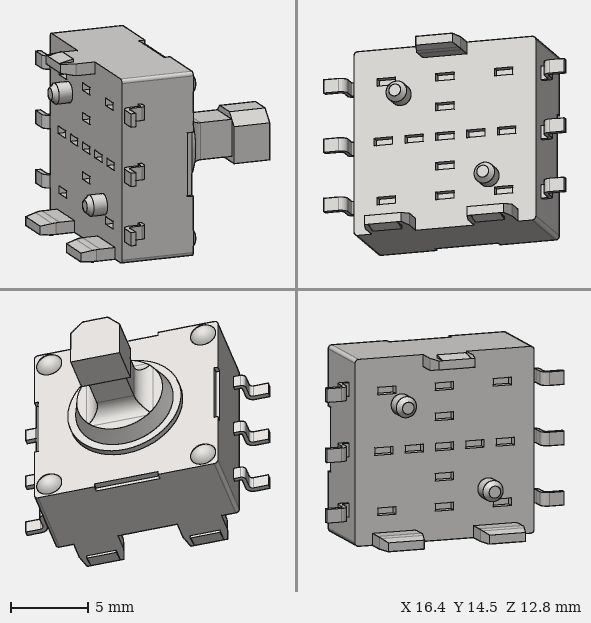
import cadquery as cq
import math


BODY_SIDE = 12.4
BODY_DEPTH = 5.0
CORNER_RADIUS = 0.25
HALF_SIDE = BODY_SIDE / 2

NOTCH_WIDTH = 4.3
NOTCH_HEIGHT = 0.42
NOTCH_INSET = 0.25

DOME_RADIUS = 0.85
DOME_HEIGHT = 0.5
DOME_OFFSET = 5.2

COLLAR_DIAMETER = 7.65
COLLAR_HEIGHT = 0.4
BOOT_BASE_DIAMETER = 6.6
BOOT_TOP_DIAMETER = 5.8
BOOT_HEIGHT = 1.1

STICK_SIDE = 2.5
FLARE_RADIUS = 1.0
KNOB_SIDE = 3.3
KNOB_LENGTH = 2.5
KNOB_CHAMFER = 0.8
KNOB_END = 12.2

SLOT_WIDTH = 1.25
SLOT_HEIGHT = 0.5
SLOT_DEPTH = 0.5
SLOT_PITCH = 2.0
MIDDLE_ROW_PITCH = 2.1

PEG_DIAMETER = 1.4
PEG_LENGTH = 1.3
PEG_TIP_CHAMFER_RADIAL = 0.3
PEG_TIP_CHAMFER_AXIAL = 0.35
PEG_OFFSET = 3.0

HOOK_WIDTH = 3.0
HOOK_THICKNESS = 0.8
HOOK_LENGTH = 2.3
HOOK_TAPER_START = 1.3
HOOK_SIDE_TAPER = 0.25
HOOK_INNER_TAPER = 0.2
HOOK_INNER_BLEND_RADIUS = 2.5
BARB_WIDTH = 2.0
BARB_HEIGHT = 0.2
LOWER_HOOK_OFFSET = 3.5

TERMINAL_WIDTH = 0.9
TERMINAL_PITCH = 4.0
TERMINAL_REACH = 8.2
TERMINAL_THICKNESS = 0.27
FOOT_THICKNESS = 0.35
FOOT_BOTTOM = -0.2
ARM_TOP = 1.37
RISER_INNER_X = 6.7
FOOT_OUTER_RADIUS = 0.5
FOOT_INNER_RADIUS = 0.23
ARM_OUTER_RADIUS = 0.3
ARM_INNER_RADIUS = 0.08

OVERLAP = 0.2


def box_between(x_range, y_range, z_range):
    """Axis-aligned block spanning the three given ranges."""
    sizes = [high - low for low, high in (x_range, y_range, z_range)]
    corner = (x_range[0], y_range[0], z_range[0])
    return cq.Workplane("XY").box(*sizes, centered=False).translate(corner)


def square_bar(side, y_start, y_end):
    """Square bar centred on the stick axis."""
    half = side / 2
    return box_between((-half, half), (y_start, y_end), (-half, half))


def make_housing():
    housing = square_bar(BODY_SIDE, 0, BODY_DEPTH).edges("|Y").fillet(CORNER_RADIUS)
    notch = box_between(
        (-NOTCH_WIDTH / 2, NOTCH_WIDTH / 2),
        (BODY_DEPTH - NOTCH_HEIGHT, BODY_DEPTH),
        (HALF_SIDE - NOTCH_INSET, HALF_SIDE),
    )
    for angle in (0, 90, 180, 270):
        housing = housing.cut(notch.rotate((0, 0, 0), (0, 1, 0), angle))
    return housing


def make_dome():
    """Spherical cap standing on the top face, on the stick axis."""
    sphere_radius = (DOME_RADIUS**2 + DOME_HEIGHT**2) / (2 * DOME_HEIGHT)
    centre_y = BODY_DEPTH + DOME_HEIGHT - sphere_radius
    half_angle = math.asin(DOME_RADIUS / sphere_radius) / 2
    arc_middle = (sphere_radius * math.sin(half_angle), centre_y + sphere_radius * math.cos(half_angle))
    return (
        cq.Workplane("XY")
        .moveTo(0, BODY_DEPTH - OVERLAP)
        .lineTo(DOME_RADIUS, BODY_DEPTH - OVERLAP)
        .lineTo(DOME_RADIUS, BODY_DEPTH)
        .threePointArc(arc_middle, (0, BODY_DEPTH + DOME_HEIGHT))
        .close()
        .revolve(360, (0, 0, 0), (0, 1, 0))
    )


def make_flared_bar(foot_y, end_y):
    """Square bar whose foot flares out onto the boot, trimmed to the boot's round top."""
    plate_start = foot_y - OVERLAP
    plate = square_bar(BOOT_TOP_DIAMETER, plate_start, foot_y)
    bar = plate.union(square_bar(STICK_SIDE, plate_start, end_y))
    foot_edges = cq.selectors.BoxSelector(
        (-STICK_SIDE, foot_y - OVERLAP / 2, -STICK_SIDE),
        (STICK_SIDE, foot_y + OVERLAP / 2, STICK_SIDE),
    )
    bar = bar.edges(foot_edges).fillet(FLARE_RADIUS)
    boot_cylinder = (
        cq.Workplane("XZ", origin=(0, plate_start, 0))
        .circle(BOOT_TOP_DIAMETER / 2)
        .extrude(plate_start - end_y)
    )
    return bar.intersect(boot_cylinder)


def make_stick():
    """Collar, boot, flared square stick and knob."""
    collar_top = BODY_DEPTH + COLLAR_HEIGHT
    boot_top = collar_top + BOOT_HEIGHT
    base = (
        cq.Workplane("XY")
        .moveTo(0, BODY_DEPTH - OVERLAP)
        .lineTo(COLLAR_DIAMETER / 2, BODY_DEPTH - OVERLAP)
        .lineTo(COLLAR_DIAMETER / 2, collar_top)
        .lineTo(BOOT_BASE_DIAMETER / 2, collar_top)
        .lineTo(BOOT_TOP_DIAMETER / 2, boot_top)
        .lineTo(0, boot_top)
        .close()
        .revolve(360, (0, 0, 0), (0, 1, 0))
    )
    knob_start = KNOB_END - KNOB_LENGTH
    stick = base.union(make_flared_bar(boot_top, knob_start))
    knob = square_bar(KNOB_SIDE, knob_start, KNOB_END)
    knob = knob.edges("|Y and >Z").chamfer(KNOB_CHAMFER)
    return stick.union(knob)


def slot_positions():
    """(x, z) of every slot: corners, the middle column and the middle row."""
    corner = 2 * SLOT_PITCH
    corners = [(x, z) for x in (-corner, corner) for z in (-corner, corner)]
    column = [(0, step * SLOT_PITCH) for step in range(-2, 3)]
    row = [(step * MIDDLE_ROW_PITCH, 0) for step in (-2, -1, 1, 2)]
    return corners + column + row


def make_slot(x, z):
    return box_between(
        (x - SLOT_WIDTH / 2, x + SLOT_WIDTH / 2),
        (0, SLOT_DEPTH),
        (z - SLOT_HEIGHT / 2, z + SLOT_HEIGHT / 2),
    )


def make_peg(x, z):
    radius = PEG_DIAMETER / 2
    return (
        cq.Workplane("XY")
        .moveTo(0, OVERLAP)
        .lineTo(radius, OVERLAP)
        .lineTo(radius, PEG_TIP_CHAMFER_AXIAL - PEG_LENGTH)
        .lineTo(radius - PEG_TIP_CHAMFER_RADIAL, -PEG_LENGTH)
        .lineTo(0, -PEG_LENGTH)
        .close()
        .revolve(360, (0, 0, 0), (0, 1, 0))
        .translate((x, 0, z))
    )


def make_hook():
    """Snap hook at the +Z side of the housing, centred on X = 0."""
    inner_z = HALF_SIDE - HOOK_THICKNESS
    side_profile = (
        cq.Workplane("YZ")
        .polyline([
            (OVERLAP, HALF_SIDE),
            (OVERLAP, inner_z),
            (-HOOK_TAPER_START, inner_z),
            (-HOOK_LENGTH, inner_z + HOOK_INNER_TAPER),
            (-HOOK_LENGTH, HALF_SIDE),
        ])
        .close()
        .extrude(HOOK_WIDTH / 2, both=True)
    )
    bend = cq.selectors.NearestToPointSelector((0, -HOOK_TAPER_START, inner_z))
    side_profile = side_profile.edges("|X").edges(bend).fillet(HOOK_INNER_BLEND_RADIUS)

    half_width = HOOK_WIDTH / 2
    half_tip = half_width - HOOK_SIDE_TAPER
    face_profile = (
        cq.Workplane("XY")
        .polyline([
            (-half_width, OVERLAP),
            (-half_width, -HOOK_TAPER_START),
            (-half_tip, -HOOK_LENGTH),
            (half_tip, -HOOK_LENGTH),
            (half_width, -HOOK_TAPER_START),
            (half_width, OVERLAP),
        ])
        .close()
        .extrude(BODY_SIDE)
    )
    barb = (
        cq.Workplane("YZ")
        .polyline([
            (-HOOK_TAPER_START, HALF_SIDE - OVERLAP),
            (-HOOK_TAPER_START, HALF_SIDE + BARB_HEIGHT),
            (-HOOK_LENGTH, HALF_SIDE),
            (-HOOK_LENGTH, HALF_SIDE - OVERLAP),
        ])
        .close()
        .extrude(BARB_WIDTH / 2, both=True)
    )
    return side_profile.intersect(face_profile).union(barb)


def make_terminal():
    """Gull-wing terminal on the +X side, centred on Z = 0."""
    riser_outer_x = RISER_INNER_X + TERMINAL_THICKNESS
    arm_bottom = ARM_TOP - TERMINAL_THICKNESS
    foot_top = FOOT_BOTTOM + FOOT_THICKNESS
    root_x = HALF_SIDE - OVERLAP
    terminal = (
        cq.Workplane("XY")
        .polyline([
            (root_x, arm_bottom),
            (RISER_INNER_X, arm_bottom),
            (RISER_INNER_X, FOOT_BOTTOM),
            (TERMINAL_REACH, FOOT_BOTTOM),
            (TERMINAL_REACH, foot_top),
            (riser_outer_x, foot_top),
            (riser_outer_x, ARM_TOP),
            (root_x, ARM_TOP),
        ])
        .close()
        .extrude(TERMINAL_WIDTH / 2, both=True)
    )
    bends = [
        (RISER_INNER_X, arm_bottom, ARM_INNER_RADIUS),
        (riser_outer_x, ARM_TOP, ARM_OUTER_RADIUS),
        (riser_outer_x, foot_top, FOOT_INNER_RADIUS),
        (RISER_INNER_X, FOOT_BOTTOM, FOOT_OUTER_RADIUS),
    ]
    for x, y, radius in bends:
        bend = cq.selectors.NearestToPointSelector((x, y, 0))
        terminal = terminal.edges("|Z").edges(bend).fillet(radius)
    return terminal


result = make_housing().union(make_stick())

dome = make_dome()
for x in (-DOME_OFFSET, DOME_OFFSET):
    for z in (-DOME_OFFSET, DOME_OFFSET):
        result = result.union(dome.translate((x, 0, z)))

for x, z in slot_positions():
    result = result.cut(make_slot(x, z))

for x in (-PEG_OFFSET, PEG_OFFSET):
    result = result.union(make_peg(x, -x))

hook = make_hook()
lower_hook = hook.mirror("XY")
result = result.union(hook)
for x in (-LOWER_HOOK_OFFSET, LOWER_HOOK_OFFSET):
    result = result.union(lower_hook.translate((x, 0, 0)))

terminal = make_terminal()
for side in (terminal, terminal.mirror("YZ")):
    for step in (-1, 0, 1):
        result = result.union(side.translate((0, 0, step * TERMINAL_PITCH)))